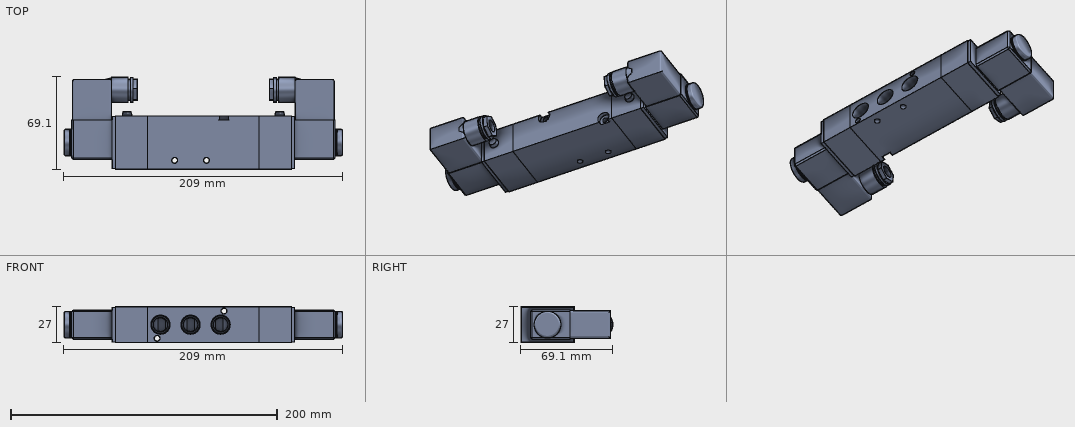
import cadquery as cq


valve_depth = 40.0
valve_height = 27.0
valve_half_length = 41.8

port_pattern_x = -9.6
port_pitch = 22.5
port_mouth_diameter = 14.5
port_floor_diameter = 13.4
port_depth = 10.0
port_core_diameter = 10.9
port_core_depth = 1.3
port_slot_width = 5.6
port_slot_end_diameter = 10.0
port_slot_pitch = 21.5
port_slot_depth = 2.0

mount_hole_diameter = 4.2
front_hole_offset_x = 25.0
front_hole_offset_z = 10.2
front_hole_bore_diameter = 9.5
front_hole_bore_depth = 3.1
top_hole_offset_x = 12.0
top_hole_y = 6.7

cap_outer_x = -66.0
flange_outer_x = -68.5
flange_inset = 0.5
button_x = -57.2
button_diameter = 7.0
button_height = 3.1
button_taper_height = 2.0
button_taper_inset = 0.6

coil_outer_x = -98.8
coil_front_y = 7.3
coil_back_y = 37.0
coil_height = 22.0
coil_chamfer = 1.3

knob_end_x = -104.5
knob_y = valve_depth / 2
knob_diameter = 20.0
knob_length = 4.2
knob_rounding = 1.5
knob_neck_diameter = 15.0
knob_washer_thickness = 0.8

plug_outer_x = -98.1
plug_inner_x = -68.7
plug_back_y = 67.5
plug_height = 20.9
plug_rounding = 1.7

gland_diameter = 19.2
gland_back_y = 69.1
gland_y = gland_back_y - gland_diameter / 2
gland_end_x = -56.4
gland_cone_length = 4.2
gland_cone_large_diameter = 18.4
gland_cone_small_diameter = 16.3
gland_neck_diameter = 16.0
ring_start_x = -54.7
ring_end_x = -52.6
ring_diameter = 18.5
nut_end_x = -49.5
nut_corner_diameter = 17.5
nut_sides = 6
nut_turn = 24.0
cable_bore_diameter = 9.5


def block(x_start, x_end, y_start, y_end, height):
    """A box centred on Z = 0."""
    size = (x_end - x_start, y_end - y_start, height)
    middle = ((x_start + x_end) / 2, (y_start + y_end) / 2, 0)
    return cq.Workplane("XY").box(*size).translate(middle)


def disc(x_start, x_end, y, diameter):
    """A cylinder along X, with its axis at Z = 0."""
    plane = cq.Workplane("YZ", origin=(x_start, y, 0))
    return plane.circle(diameter / 2).extrude(x_end - x_start)


def front_hole(x, z, diameter, depth, start_y=0):
    """A cylinder along +Y for cutting from the front face."""
    plane = cq.Workplane("XZ", origin=(x, start_y, z))
    return plane.circle(diameter / 2).extrude(-depth)


def port_cutter(index):
    """A tapered port with a stepped core and a slot, with round ends, in its floor."""
    x = port_pattern_x + index * port_pitch
    slot_x = port_pattern_x + index * port_slot_pitch
    core_end = port_depth + port_core_depth
    slot_end = core_end + port_slot_depth
    core = front_hole(x, 0, port_core_diameter, core_end)
    slot_limit = front_hole(x, 0, port_slot_end_diameter, slot_end)
    slot = block(
        slot_x - port_slot_width / 2, slot_x + port_slot_width / 2, 0, slot_end, port_core_diameter
    ).intersect(slot_limit)
    bore = (
        cq.Workplane("XZ", origin=(x, 0, 0))
        .circle(port_mouth_diameter / 2)
        .workplane(offset=-port_depth)
        .circle(port_floor_diameter / 2)
        .loft()
    )
    return bore.union(core).union(slot)


def make_valve_body():
    body = block(-valve_half_length, valve_half_length, 0, valve_depth, valve_height)
    for index in (-1, 0, 1):
        body = body.cut(port_cutter(index))
    for side in (-1, 1):
        x = port_pattern_x + side * front_hole_offset_x
        z = side * front_hole_offset_z
        body = body.cut(front_hole(x, z, mount_hole_diameter, valve_depth))
        bore_start = valve_depth - front_hole_bore_depth
        body = body.cut(front_hole(x, z, front_hole_bore_diameter, front_hole_bore_depth, bore_start))
        top_hole_x = port_pattern_x + side * top_hole_offset_x
        top_hole = cq.Workplane("XY").circle(mount_hole_diameter / 2).extrude(valve_height)
        body = body.cut(top_hole.translate((top_hole_x, top_hole_y, -valve_height / 2)))
    return body


def make_end_cap():
    cap = block(cap_outer_x, -valve_half_length, 0, valve_depth, valve_height)
    flange = block(
        flange_outer_x,
        cap_outer_x,
        flange_inset,
        valve_depth - flange_inset,
        valve_height - 2 * flange_inset,
    )
    button = (
        cq.Workplane("XZ", origin=(button_x, valve_depth, 0))
        .circle(button_diameter / 2)
        .extrude(-button_height)
        .faces(">Y")
        .chamfer(button_taper_height, button_taper_inset)
    )
    return cap.union(flange).union(button)


def make_coil():
    coil = block(coil_outer_x, flange_outer_x, coil_front_y, coil_back_y, coil_height)
    long_edges = coil.edges("|X and <Y")
    outer_edges = coil.faces("<X").edges("not(>Y)")
    return coil.newObject(long_edges.vals() + outer_edges.vals()).chamfer(coil_chamfer)


def make_knob():
    neck_start = knob_end_x + knob_length
    washer_start = coil_outer_x - knob_washer_thickness
    head = disc(knob_end_x, neck_start, knob_y, knob_diameter).faces("<X").edges().fillet(knob_rounding)
    neck = disc(neck_start, washer_start, knob_y, knob_neck_diameter)
    washer = disc(washer_start, coil_outer_x, knob_y, knob_diameter)
    return head.union(neck).union(washer)


def make_plug():
    plug = block(plug_outer_x, plug_inner_x, coil_back_y, plug_back_y, plug_height)
    return plug.edges("(<X or >X) and (not <Y)").fillet(plug_rounding)


def make_gland():
    sleeve = disc(plug_inner_x, gland_end_x, gland_y, gland_diameter)
    cone = (
        cq.Workplane("YZ", origin=(plug_inner_x, gland_y, 0))
        .circle(gland_cone_large_diameter / 2)
        .workplane(offset=-gland_cone_length)
        .circle(gland_cone_small_diameter / 2)
        .loft()
    )
    neck = disc(gland_end_x, ring_start_x, gland_y, gland_neck_diameter)
    ring = disc(ring_start_x, ring_end_x, gland_y, ring_diameter)
    nut = (
        cq.Workplane("YZ", origin=(ring_end_x, gland_y, 0))
        .transformed(rotate=(0, 0, nut_turn))
        .polygon(nut_sides, nut_corner_diameter)
        .extrude(nut_end_x - ring_end_x)
    )
    cable_bore = disc(plug_inner_x, nut_end_x, gland_y, cable_bore_diameter)
    return sleeve.union(cone).union(neck).union(ring).union(nut).cut(cable_bore)


def make_solenoid():
    return make_coil().union(make_knob()).union(make_plug()).union(make_gland())


valve_body = make_valve_body()
bodies = [valve_body.val()]
for make_end_body in (make_end_cap, make_solenoid):
    left_body = make_end_body()
    right_body = left_body.mirror("YZ")
    bodies += [left_body.val(), right_body.val()]

result = cq.Compound.makeCompound(bodies)